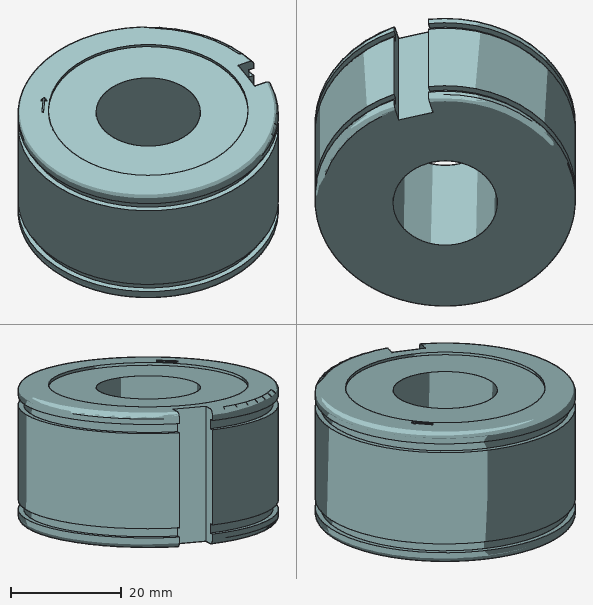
import cadquery as cq

OUTER_DIAMETER = 47.0
BODY_HEIGHT = 25.0
BORE_DIAMETER = 18.8
RIM_FILLET = 1.0

GROOVE_DEPTH = 1.0
GROOVE_WIDTH = 1.7
END_LIP_HEIGHT = 2.0

RECESS_DIAMETER = 36.0
RECESS_DEPTH = 0.5

KEYWAY_WIDTH = 6.4
KEYWAY_FLOOR_Y = 20.1

ARROW_HEIGHT = 0.2
ARROW_RADIUS = 18.95
ARROW_ANGLE = 238.0
ARROW_LENGTH = 3.9
ARROW_HEAD_LENGTH = 0.8
ARROW_HEAD_WIDTH = 1.05
ARROW_SHAFT_WIDTH = 0.3


def make_ring():
    """Cylinder with rounded rims and a bore through it."""
    cylinder = cq.Workplane("XY").circle(OUTER_DIAMETER / 2).extrude(BODY_HEIGHT)
    bore = cq.Workplane("XY").circle(BORE_DIAMETER / 2).extrude(BODY_HEIGHT)
    return cylinder.edges("%CIRCLE").fillet(RIM_FILLET).cut(bore)


def make_groove(bottom_z):
    """Annular cutter for one outer groove starting at bottom_z."""
    return (
        cq.Workplane("XY", origin=(0, 0, bottom_z))
        .circle(OUTER_DIAMETER / 2 + GROOVE_DEPTH)
        .circle(OUTER_DIAMETER / 2 - GROOVE_DEPTH)
        .extrude(GROOVE_WIDTH)
    )


def make_recess():
    """Disc cutter for the recess in the top face."""
    return (
        cq.Workplane("XY", origin=(0, 0, BODY_HEIGHT - RECESS_DEPTH))
        .circle(RECESS_DIAMETER / 2)
        .extrude(RECESS_DEPTH)
    )


def make_keyway():
    """Box cutter open to the outside at +Y."""
    return (
        cq.Workplane("XY", origin=(0, KEYWAY_FLOOR_Y, 0))
        .box(KEYWAY_WIDTH, OUTER_DIAMETER / 2, BODY_HEIGHT, centered=(True, False, False))
    )


def make_arrow():
    """Arrow drawn at the +X side pointing to -Y, then turned into place."""
    tip = -ARROW_LENGTH / 2
    barb = tip + ARROW_HEAD_LENGTH
    tail = ARROW_LENGTH / 2
    half_head = ARROW_HEAD_WIDTH / 2
    half_shaft = ARROW_SHAFT_WIDTH / 2
    return (
        cq.Workplane("XY", origin=(ARROW_RADIUS, 0, BODY_HEIGHT))
        .moveTo(0, tip)
        .lineTo(half_head, barb)
        .lineTo(half_shaft, barb)
        .lineTo(half_shaft, tail)
        .lineTo(-half_shaft, tail)
        .lineTo(-half_shaft, barb)
        .lineTo(-half_head, barb)
        .close()
        .extrude(ARROW_HEIGHT)
        .rotate((0, 0, 0), (0, 0, 1), ARROW_ANGLE)
    )


result = make_ring()
for groove_z in (END_LIP_HEIGHT, BODY_HEIGHT - END_LIP_HEIGHT - GROOVE_WIDTH):
    result = result.cut(make_groove(groove_z))
result = result.cut(make_recess()).cut(make_keyway()).union(make_arrow())